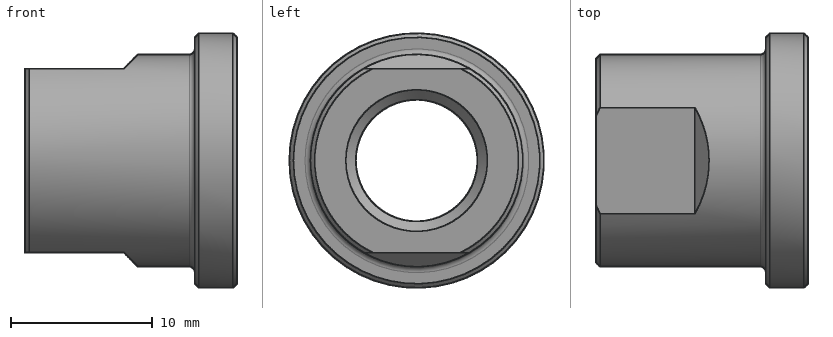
import cadquery as cq

total_length = 15.0
flange_diameter = 18.0
flange_thickness = 3.0
barrel_diameter = 15.0
bore_diameter = 8.57
countersink_diameter = 10.0
edge_chamfer = 0.3
root_fillet = 0.4
flat_spacing = 13.0
flat_length = 7.0

flange_radius = flange_diameter / 2
barrel_radius = barrel_diameter / 2
bore_radius = bore_diameter / 2
countersink_radius = countersink_diameter / 2
countersink_depth = countersink_radius - bore_radius
flange_face = total_length - flange_thickness
flat_height = flat_spacing / 2


def make_turned_body():
    """Flanged sleeve revolved about X, with bore, countersink, chamfers and root fillet."""
    fillet_center = (flange_face - root_fillet, barrel_radius + root_fillet)
    fillet_offset = root_fillet * 0.5 ** 0.5
    fillet_middle = (fillet_center[0] + fillet_offset, fillet_center[1] - fillet_offset)
    profile = (
        cq.Workplane("XY")
        .moveTo(countersink_depth, bore_radius)
        .lineTo(0, countersink_radius)
        .lineTo(0, barrel_radius - edge_chamfer)
        .lineTo(edge_chamfer, barrel_radius)
        .lineTo(flange_face - root_fillet, barrel_radius)
        .threePointArc(fillet_middle, (flange_face, barrel_radius + root_fillet))
        .lineTo(flange_face, flange_radius - edge_chamfer)
        .lineTo(flange_face + edge_chamfer, flange_radius)
        .lineTo(total_length - edge_chamfer, flange_radius)
        .lineTo(total_length, flange_radius - edge_chamfer)
        .lineTo(total_length, bore_radius)
        .close()
    )
    return profile.revolve(360, (0, 0, 0), (1, 0, 0))


def make_flat_cutter(side):
    """Material above (side = 1) or below (side = -1) a wrench flat with a 45 degree run-out."""
    cut_depth = flange_radius - flat_height
    outline = [
        (0, side * flat_height),
        (flat_length, side * flat_height),
        (flat_length + cut_depth, side * flange_radius),
        (0, side * flange_radius),
    ]
    return cq.Workplane("XZ").polyline(outline).close().extrude(flange_radius, both=True)


result = make_turned_body()
for side in (1, -1):
    result = result.cut(make_flat_cutter(side))